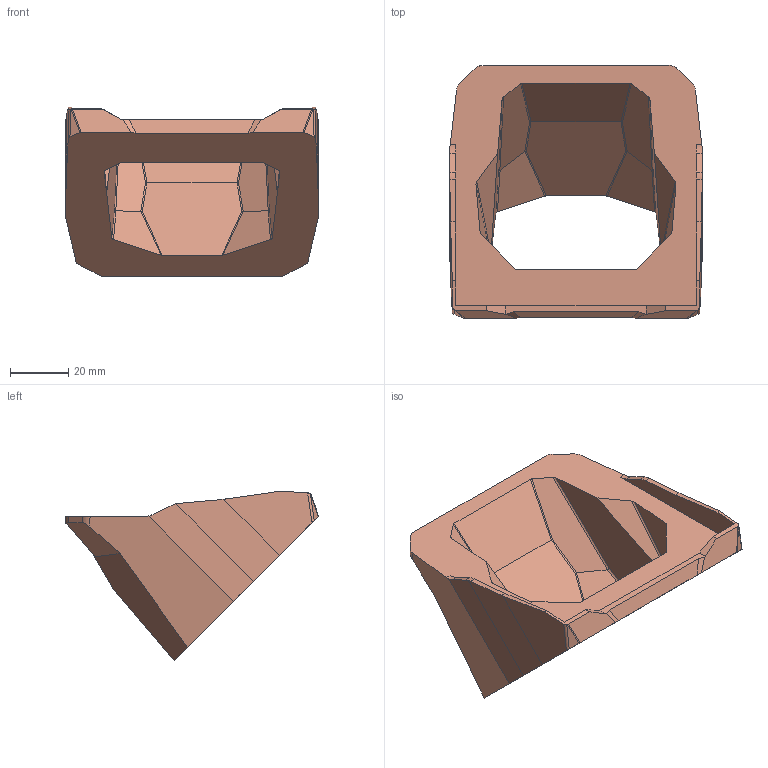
import cadquery as cq


HALF_WIDTH = 43.5
BACK_Y = 82.77
FRONT_Y = -4.4
BOTTOM_Z = -49.76
DECK_HALF_WIDTH = 41.5
SLAB_Z = -2.2
HEIGHT = 58.46
BLOCK = 400.0


def on_mount(x, z):
    """Point of the mounting plane at the given x and z."""
    return (x, FRONT_Y - z, z)


def mirrored(point):
    return (-point[0], point[1], point[2])


BOTTOM_CORNER = on_mount(-30.9, BOTTOM_Z)
LOW_SIDE = on_mount(-39.8, -45.1)
WIDE_LOW = on_mount(-HALF_WIDTH, -29.2)
WIDE_HIGH = on_mount(-HALF_WIDTH, -22.4)
NARROWING = on_mount(-43.2, -13.4)
FRONT_SIDE = on_mount(-42.6, -1.7)
FRONT_CORNER = on_mount(-38.4, 0)
FRONT_TOP = (-41.4, -1.75, 8.0)
SIDE_TOP = (-42.4, -0.9, 8.0)

RIM_BACK = (-33.6, BACK_Y, SLAB_Z)
RIM_SIDE = (-41.2, 75.5, SLAB_Z)
FLARE_SIDE = (-40.8, 64.0, -12.8)
FLARE_BACK = (-30.8, 73.1, -13.3)
BACK_BEND = (-28.6, 66.2, -25.3)
RIM_ROUND = 4.0
FRONT_ROUND = 1.0
CAVITY_ROUND = 1.0

LIP_REAR = (54.0, 0.0)
LIP_SHOULDER = (44.9, 4.4)
LIP_MIDDLE = (28.9, 5.8)
LIP_PEAK = (8.6, BOTTOM_Z + HEIGHT)
LIP_FRONT = (FRONT_TOP[1], FRONT_TOP[2])
LIP_BLEND = 7.0

NOTCH_TOP_X = 30.8
NOTCH_FLOOR_X = 24.2
NOTCH_FLOOR_Z = 4.4
RECESS_FOOT = on_mount(-19.2, -0.4)
RECESS_TOP = (-21.7, -2.15, NOTCH_FLOOR_Z)
RECESS_RIM_FOOT = on_mount(-20.9, 0)

REAR_BACK = (-18.9, 76.6, 0)
REAR_SIDE = (-25.4, 71.6, 0)
BACK_CREASE = (-16.3, 63.4, -17.4)
FLOOR_CORNER = (-18.0, 52.9, -27.2)
FLOOR_SIDE = (-26.4, 46.9, -27.2)
MOUTH_BACK = on_mount(-10.5, -42.3)
MOUTH_LOW_SIDE = on_mount(-27.6, -36.7)
MOUTH_SIDE = on_mount(-29.4, -21.0)
MOUTH_FRONT = on_mount(-24.4, -10.2)
LOBE_REAR = (-27.2, 52.3, 0)
LOBE_BACK = (-34.5, 42.3, 0)
LOBE_FRONT = (-33.0, 24.8, 0)
FRONT_OPENING = (-21.0, 12.6, 0)

BODY_CORE = (0, 30, -20)
CAVITY_CORE = (0, 30, -15)
Z_AXIS = (0, 0, 1)
X_AXIS = (1, 0, 0)


def along(point, direction):
    """A second point, one step from the first."""
    return tuple(p + d for p, d in zip(point, direction))


def trim(solid, corners, core):
    """Cut the solid at the plane through three corners, keeping the side of the core point."""
    first, second, third = [cq.Vector(*corner) for corner in corners]
    normal = (second - first).cross(third - first)
    if normal.dot(cq.Vector(*core) - first) > 0:
        normal = -normal
    outside = cq.Workplane(cq.Plane(first, normal=normal)).rect(BLOCK, BLOCK).extrude(BLOCK)
    return solid.cut(outside)


def trim_pair(solid, corners, core):
    """Trim at a plane and at its mirror image about X = 0."""
    solid = trim(solid, corners, core)
    return trim(solid, [mirrored(corner) for corner in corners], core)


def across(point):
    """Edge through a point, parallel to X."""
    return [point, along(point, X_AXIS)]


def midpoint(start, end):
    return tuple((a + b) / 2 for a, b in zip(start, end))


def round_pairs(solid, edges, radius):
    """Round the edges given by their end corners, together with their mirror images."""
    chosen = []
    for start, end in edges:
        middle = midpoint(start, end)
        for point in (middle, mirrored(middle)):
            chosen += solid.edges(cq.selectors.NearestToPointSelector(point)).vals()
    return solid.newObject(chosen).fillet(radius)


def blank():
    return cq.Workplane("XY").box(BLOCK / 2, BLOCK / 2, BLOCK / 2)


def trim_mount(solid, core):
    return trim(solid, across(BOTTOM_CORNER) + [FRONT_CORNER], core)


def make_shell():
    """Mounting plane, faceted sides square to it, and the leaning front."""
    square_to_mount = (0, 1, 1)
    shell = trim_mount(blank(), BODY_CORE)
    sides = [LOW_SIDE, WIDE_LOW, WIDE_HIGH, NARROWING, FRONT_SIDE]
    for start, end in zip(sides, sides[1:]):
        shell = trim_pair(shell, [start, end, along(start, square_to_mount)], BODY_CORE)
    shell = trim_pair(shell, [FRONT_CORNER, FRONT_SIDE, FRONT_TOP], BODY_CORE)
    shell = trim(shell, across(FRONT_CORNER) + [FRONT_TOP], BODY_CORE)
    return round_pairs(shell, [(FRONT_CORNER, FRONT_TOP), (FRONT_SIDE, SIDE_TOP)], FRONT_ROUND)


def make_body(shell):
    """Lower body with a bent back and chamfered rear corners."""
    body = trim(shell, across(FLARE_BACK) + [BACK_BEND], BODY_CORE)
    body = trim(body, across(BACK_BEND) + [BOTTOM_CORNER], BODY_CORE)
    return trim_pair(body, [BOTTOM_CORNER, LOW_SIDE, FLARE_SIDE], BODY_CORE)


def make_flare(shell):
    """Upper rear flare that carries the deck's vertical rim."""
    flare = trim(shell, across(RIM_BACK) + [along(RIM_BACK, Z_AXIS)], BODY_CORE)
    flare = trim(flare, across(RIM_BACK) + [FLARE_BACK], BODY_CORE)
    flare = trim_pair(flare, [RIM_BACK, RIM_SIDE, along(RIM_BACK, Z_AXIS)], BODY_CORE)
    flare = trim_pair(flare, [RIM_BACK, RIM_SIDE, FLARE_SIDE], BODY_CORE)
    flare = flare.cut(make_lip_cutter())
    rim_edges = [(corner, (corner[0], corner[1], 0)) for corner in (RIM_BACK, RIM_SIDE)]
    return round_pairs(flare, rim_edges, RIM_ROUND)


def make_lip_cutter():
    """Everything above the side lips and above the rear of the deck."""
    clear = BLOCK / 4
    cutter = (
        cq.Workplane("YZ")
        .polyline([
            (clear, 0), LIP_REAR, LIP_SHOULDER, LIP_MIDDLE, LIP_PEAK, LIP_FRONT,
            (-clear, LIP_FRONT[1]), (-clear, clear), (clear, clear),
        ])
        .close()
        .extrude(clear, both=True)
    )
    for y, z in (LIP_REAR, LIP_SHOULDER):
        edge = cutter.edges(cq.selectors.NearestToPointSelector((0, y, z)))
        cutter = edge.fillet(LIP_BLEND)
    return cutter


def make_deck_cutter():
    """Space above the deck, between the lips."""
    return (
        cq.Workplane("XY")
        .center(0, BACK_Y / 2)
        .rect(2 * DECK_HALF_WIDTH, BACK_Y)
        .extrude(LIP_PEAK[1] * 2)
    )


def make_front_notch():
    """Low middle stretch of the front lip."""
    half_top = 2 * NOTCH_TOP_X - NOTCH_FLOOR_X
    top = 2 * LIP_FRONT[1] - NOTCH_FLOOR_Z
    return (
        cq.Workplane("XZ")
        .polyline([
            (-half_top, top), (-NOTCH_FLOOR_X, NOTCH_FLOOR_Z),
            (NOTCH_FLOOR_X, NOTCH_FLOOR_Z), (half_top, top),
        ])
        .close()
        .extrude(-2 * FRONT_Y, both=True)
    )


def make_front_recess():
    """Shallow recess in the front face below the notch."""
    core = (0, 2 * FRONT_Y, 0)
    recess = trim(blank(), across(RECESS_FOOT) + [RECESS_TOP], core)
    return trim_pair(recess, [RECESS_FOOT, RECESS_TOP, RECESS_RIM_FOOT], core)


def make_cavity():
    """Faceted passage from the deck to the mounting plane, with a lobe on each side."""
    core = CAVITY_CORE
    passage = blank()
    passage = trim(passage, across(REAR_BACK) + [BACK_CREASE], core)
    passage = trim(passage, across(BACK_CREASE) + [MOUTH_BACK], core)
    passage = trim_pair(passage, [REAR_BACK, REAR_SIDE, FLOOR_CORNER], core)
    passage = trim_pair(passage, [FLOOR_CORNER, MOUTH_BACK, MOUTH_LOW_SIDE], core)
    passage = trim(passage, across(FRONT_OPENING) + [MOUTH_FRONT], core)
    passage = trim_pair(passage, [LOBE_FRONT, FRONT_OPENING, MOUTH_FRONT], core)
    passage = trim(passage, across(LOBE_BACK) + [(0, 0, 0)], core)
    passage = trim_mount(passage, core)

    middle = trim_pair(passage, [REAR_SIDE, MOUTH_LOW_SIDE, MOUTH_SIDE], core)
    middle = round_pairs(
        middle,
        [
            (REAR_BACK, BACK_CREASE), (BACK_CREASE, FLOOR_CORNER), (FLOOR_CORNER, MOUTH_BACK),
            (REAR_SIDE, FLOOR_SIDE), (FLOOR_SIDE, MOUTH_LOW_SIDE),
        ],
        CAVITY_ROUND,
    )

    lobes = trim_pair(passage, [LOBE_REAR, LOBE_BACK, MOUTH_SIDE], core)
    lobes = trim_pair(lobes, [LOBE_BACK, LOBE_FRONT, MOUTH_SIDE], core)
    lobes = round_pairs(lobes, [(LOBE_BACK, MOUTH_SIDE)], CAVITY_ROUND)
    return middle.union(lobes)


shell = make_shell()
result = make_body(shell).cut(make_lip_cutter()).union(make_flare(shell))
for cutter in (make_deck_cutter(), make_front_notch(), make_front_recess(), make_cavity()):
    result = result.cut(cutter)